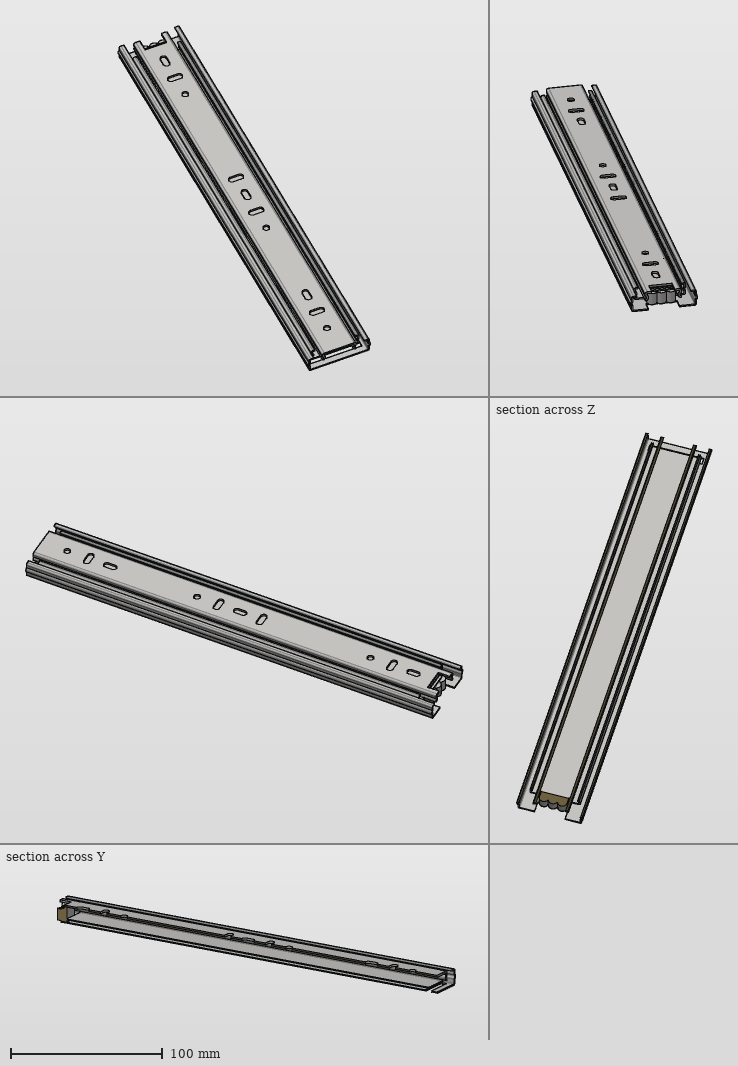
import cadquery as cq


length = 300.0
height = 12.5
sheet = 1.05
inner_sheet = 1.5
bend = 0.75

outer_face_y = 22.0
bead_depth = 1.0
bead_bottom_z = 4.2
bead_top_z = 7.5
lip_top_z = 11.5
lip_edge_y = 18.3
end_notch_depth = 7.5
end_notch_width = 21.0
slot_start_x = 291.0
slot_end_x = 295.5
slot_width = 37.2

middle_start_x = 12.3
middle_end_x = 293.7
middle_floor_top_z = 3.3
middle_face_y = 17.5
middle_groove_depth = 1.0
middle_groove_bottom_z = 5.0
middle_groove_top_z = 7.8
middle_top_z = 11.0
middle_flange_edge_y = 14.7

inner_start_x = 2.0
inner_face_y = 12.3
inner_wall_bottom_z = 9.5
inner_groove_depth = 1.0
inner_groove_z = 8.0
inner_foot_z = 6.5
web_notch_end_x = 10.5
web_notch_width = 15.5

hole_width = 4.5
long_slot_length = 9.3
cross_slot_length = 10.5
hole_step = 16.0
hole_group_starts = [25.0, 153.0, 249.0]
extra_cross_slot_x = hole_group_starts[1] - hole_step

bumper_front_x = 4.8
lobe_count = 3
lobe_radius = 3.3
lobe_pitch = 6.3
lobe_top_z = 9.3
step_front_x = 7.8
step_top_z = 10.2
tongue_front_x = 9.5


def bent_sheet(half_path, thickness, start_x, end_x):
    """Thicken a path along the middle of the sheet, extrude it along X and mirror it about XZ."""
    half = half_path.offset2D(thickness / 2).extrude(end_x - start_x).translate((start_x, 0, 0))
    return half.union(half.mirror("XZ"))


def box_between(x_range, width, z_range):
    """Box centred on the XZ plane."""
    x_size = x_range[1] - x_range[0]
    z_size = z_range[1] - z_range[0]
    corner_at_origin = cq.Workplane("XY").box(x_size, width, z_size, centered=(False, True, False))
    return corner_at_origin.translate((x_range[0], 0, z_range[0]))


def make_outer_rail():
    half_sheet = sheet / 2
    wall_y = outer_face_y - half_sheet
    floor_z = half_sheet
    lip_z = lip_top_z - half_sheet
    bead_mid_z = (bead_bottom_z + bead_top_z) / 2
    half_path = (
        cq.Workplane("YZ")
        .moveTo(0, floor_z)
        .lineTo(wall_y - bend, floor_z)
        .tangentArcPoint((wall_y, floor_z + bend), relative=False)
        .lineTo(wall_y, bead_bottom_z)
        .threePointArc((wall_y + bead_depth, bead_mid_z), (wall_y, bead_top_z))
        .lineTo(wall_y, lip_z - bend)
        .tangentArcPoint((wall_y - bend, lip_z), relative=False)
        .lineTo(lip_edge_y + half_sheet, lip_z)
    )
    rail = bent_sheet(half_path, sheet, 0, length)
    end_notch = box_between((0, end_notch_depth), end_notch_width, (0, sheet))
    floor_slot = box_between((slot_start_x, slot_end_x), slot_width, (0, sheet))
    return rail.cut(end_notch).cut(floor_slot)


def make_middle_rail():
    half_sheet = sheet / 2
    wall_y = middle_face_y - half_sheet
    floor_z = middle_floor_top_z - half_sheet
    flange_z = middle_top_z - half_sheet
    groove_mid_z = (middle_groove_bottom_z + middle_groove_top_z) / 2
    half_path = (
        cq.Workplane("YZ")
        .moveTo(0, floor_z)
        .lineTo(wall_y - bend, floor_z)
        .tangentArcPoint((wall_y, floor_z + bend), relative=False)
        .lineTo(wall_y, middle_groove_bottom_z)
        .threePointArc(
            (wall_y - middle_groove_depth, groove_mid_z), (wall_y, middle_groove_top_z)
        )
        .lineTo(wall_y, flange_z - bend)
        .tangentArcPoint((wall_y - bend, flange_z), relative=False)
        .lineTo(middle_flange_edge_y + half_sheet, flange_z)
    )
    return bent_sheet(half_path, sheet, middle_start_x, middle_end_x)


def cut_mounting_holes(rail):
    """Cut the long slots, cross slots and round holes through the web of the inner rail."""
    web_bottom = cq.Workplane("XY", origin=(0, 0, height - inner_sheet))
    long_slot = web_bottom.slot2D(long_slot_length, hole_width).extrude(inner_sheet)
    cross_slot = web_bottom.slot2D(cross_slot_length, hole_width, 90).extrude(inner_sheet)
    round_hole = web_bottom.circle(hole_width / 2).extrude(inner_sheet)
    for x in hole_group_starts:
        rail = rail.cut(long_slot.translate((x, 0, 0)))
        rail = rail.cut(cross_slot.translate((x + hole_step, 0, 0)))
        rail = rail.cut(round_hole.translate((x + 2 * hole_step, 0, 0)))
    return rail.cut(cross_slot.translate((extra_cross_slot_x, 0, 0)))


def make_inner_rail():
    half_sheet = inner_sheet / 2
    wall_y = inner_face_y - half_sheet
    web_z = height - half_sheet
    half_path = (
        cq.Workplane("YZ")
        .moveTo(0, web_z)
        .lineTo(wall_y - bend, web_z)
        .tangentArcPoint((wall_y, web_z - bend), relative=False)
        .lineTo(wall_y, inner_wall_bottom_z)
        .threePointArc((wall_y - inner_groove_depth, inner_groove_z), (wall_y, inner_foot_z))
    )
    rail = bent_sheet(half_path, inner_sheet, inner_start_x, length)
    web_z_range = (height - inner_sheet, height)
    web_notch = box_between((inner_start_x, web_notch_end_x), web_notch_width, web_z_range)
    return cut_mounting_holes(rail.cut(web_notch))


def make_bumper():
    bottom_z = sheet
    lobe_center_x = bumper_front_x + lobe_radius
    block_width = (lobe_count - 1) * lobe_pitch + 2 * lobe_radius
    back_x = middle_start_x
    bumper = box_between((lobe_center_x, back_x), block_width, (bottom_z, lobe_top_z))
    for i in range(lobe_count):
        lobe_y = (i - (lobe_count - 1) / 2) * lobe_pitch
        lobe = (
            cq.Workplane("XY", origin=(lobe_center_x, lobe_y, bottom_z))
            .circle(lobe_radius)
            .extrude(lobe_top_z - bottom_z)
        )
        bumper = bumper.union(lobe)
    step = box_between((step_front_x, back_x), web_notch_width, (lobe_top_z, step_top_z))
    tongue = box_between((tongue_front_x, back_x), web_notch_width, (step_top_z, height - inner_sheet))
    return bumper.union(step).union(tongue)


outer_rail = make_outer_rail()
middle_rail = make_middle_rail()
inner_rail = make_inner_rail()
bumper = make_bumper()

result = cq.Compound.makeCompound(
    [outer_rail.val(), middle_rail.val(), inner_rail.val(), bumper.val()]
)